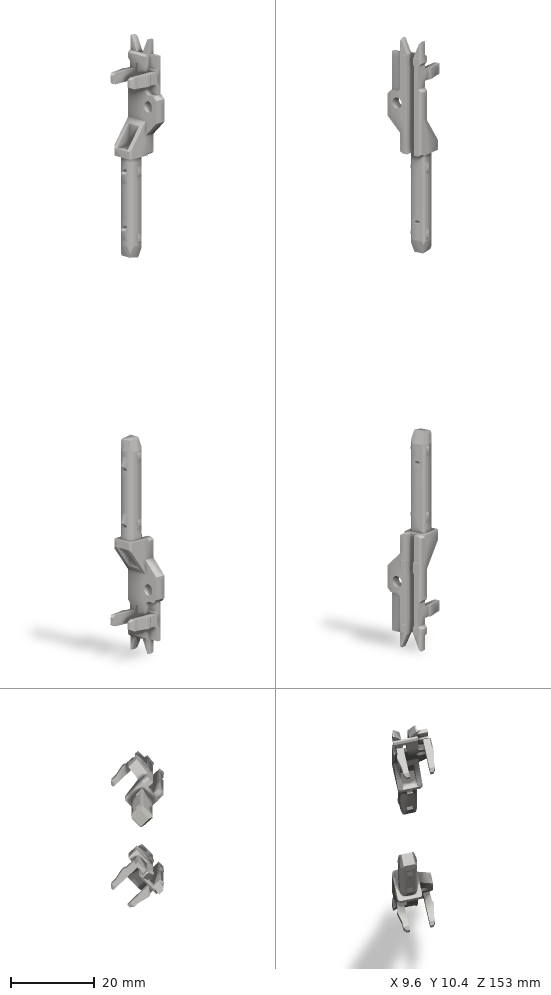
import cadquery as cq
HALF_LENGTH = 76.5

PLATE_WIDTH = 6.0
PLATE_THICKNESS = 2.8
PLATE_TOP_DROP = 3.7
PLATE_TOP_CHAMFER = 0.5
BACK_EDGE_CHAMFER = 0.5
CENTRE_X = PLATE_WIDTH / 2
CHANNEL_WIDTH = 2.0
CHANNEL_DEPTH = 1.8

PRONG_TIP_INSET = 0.3
PRONG_ROOT_WIDTH = CENTRE_X - CHANNEL_WIDTH / 2
PRONG_TIP_CHAMFER = 0.5

WING_WIDTH = 9.6
WING_TOP_DROP = 13.5
WING_CORNER = 0.9
WING_SIDE_END_DROP = 20.0
WING_END_DROP = WING_SIDE_END_DROP + WING_WIDTH - PLATE_WIDTH
WING_FILLET = 1.2
HOLE_DIAMETER = 2.8
HOLE_X = 6.9
HOLE_DROP = 16.4

ARM_DROP = 9.0
ARM_HEIGHT = 2.8
ARM_OUTER_X = 0.9
ARM_INNER_X = 2.3
ARM_FLARE_X = 0.6
ARM_HOOK_X = 0.3
ARM_END_DEPTH = 10.1
ARM_TIP_LENGTH = 0.9
ARM_TIP_X_TAPER = 0.6
ARM_TIP_Z_TAPER = 0.5
HOOK_BACK_DEPTH = 4.1
HOOK_CREST_DEPTH = 4.6
HOOK_RAMP_DEPTH = 5.2
HOOK_FRONT_DEPTH = 7.8

NOTCH_DEPTH = 0.69
NOTCH_HEIGHT = 7.2
SLOT_WIDTH = 0.9
SLOT_HEIGHT = 5.7

TAB_RIGHT_X = 8.7
TAB_BACK_DEPTH = 0.5
TAB_FRONT_DEPTH = 1.4
ARM_PAD_HEIGHT = 3.8

BLOCK_DEPTH = 7.8
RAMP_START_DROP = 20.2
RAMP_END_DROP = 27.0
BLOCK_END_DROP = 28.8
BLOCK_CHAMFER = 0.5
RAIL_CHAMFER_HEIGHT = 0.5
RAIL_CHAMFER_WIDTH = 0.8
POCKET_WIDTH = 3.5
POCKET_TOP_DROP = 21.4
POCKET_FLOOR_DEPTH = 3.5

PIN_SIZE = 4.1
PIN_FRONT_FILLET = 1.4
PIN_BACK_FILLET = 0.69
PIN_BACK_DEPTH = PLATE_THICKNESS
PIN_FRONT_DEPTH = PIN_BACK_DEPTH + PIN_SIZE
PIN_LEFT_X = CENTRE_X - PIN_SIZE / 2
PIN_TIP_DROP = 51.0
PIN_END_DROP = 54.2
PIN_END_WIDTH = 2.6
PIN_END_BACK_DEPTH = 3.5
PIN_END_FRONT_DEPTH = 6.5
PIN_END_SLANT = 0.5

FRONT_RAMP_DROPS = (32.6, 46.7)
FRONT_RAMP_LIFT = 0.5
FRONT_RAMP_WIDTH = PIN_SIZE - 2 * PIN_FRONT_FILLET
FRONT_RAMP_RISE = 0.3
FRONT_RAMP_CREST = 0.6
FRONT_RAMP_LENGTH = 2.9
SLIT_WIDTH = FRONT_RAMP_WIDTH
SLIT_HEIGHT = 0.8
UPPER_SLIT_DEPTH = 0.9
SIDE_BUMP_DROPS = (31.2, 47.9)
SIDE_BUMP_LIFT = 0.23
SIDE_BUMP_BACK_DEPTH = PIN_BACK_DEPTH + PIN_BACK_FILLET
SIDE_BUMP_FRONT_DEPTH = 4.6
SIDE_BUMP_RISE = 1.2
SIDE_BUMP_CREST = 2.0
SIDE_BUMP_LENGTH = 2.8

PAD_THICKNESS = 0.3
END_PAD_DROP = 4.0
END_PAD_HEIGHT = 2.0
KEY_PAD_DROP = 19.5
KEY_PAD_HEIGHT = 2.8


def height(drop):
    """Z of a point the given distance below the upper prong tips."""
    return HALF_LENGTH - drop


def box(left, right, back, front, top_drop, bottom_drop):
    """Block between two X values, two depths and two drops."""
    return (
        cq.Workplane("XY")
        .box(right - left, front - back, bottom_drop - top_drop, centered=False)
        .translate((left, -front, height(bottom_drop)))
    )


def front_prism(points, back, front):
    """Outline of (X, drop) points, extruded between two depths."""
    outline = [(x, height(drop)) for x, drop in points]
    return cq.Workplane("XZ").workplane(offset=back).polyline(outline).close().extrude(front - back)


def side_prism(points, left, right):
    """Outline of (depth, drop) points, extruded between two X values."""
    outline = [(-depth, height(drop)) for depth, drop in points]
    return cq.Workplane("YZ").workplane(offset=left).polyline(outline).close().extrude(right - left)


def mirror_about(body, x):
    """Copy of a body reflected in the plane at the given X."""
    return body.mirror("YZ", (x, 0, 0))


def plate():
    """Backplate with a sloped top edge."""
    slope_depth = PLATE_THICKNESS - PLATE_TOP_CHAMFER
    profile = [
        (0, PLATE_TOP_DROP),
        (slope_depth, PLATE_TOP_DROP),
        (PLATE_THICKNESS, PLATE_TOP_DROP + PLATE_TOP_CHAMFER),
        (PLATE_THICKNESS, BLOCK_END_DROP),
        (0, BLOCK_END_DROP),
    ]
    return side_prism(profile, 0, PLATE_WIDTH)


def prongs():
    """Two prongs whose inner sides form a V, with the back of each tip chamfered."""
    left = front_prism(
        [(0, PLATE_TOP_DROP), (0, 0), (PRONG_TIP_INSET, 0), (PRONG_ROOT_WIDTH, PLATE_TOP_DROP)],
        0,
        CHANNEL_DEPTH,
    )
    tip_cut = side_prism([(0, 0), (PRONG_TIP_CHAMFER, 0), (0, PRONG_TIP_CHAMFER)], 0, PRONG_ROOT_WIDTH)
    left = left.cut(tip_cut)
    return left.union(mirror_about(left, CENTRE_X))


def wing():
    """Side wing with a sloped upper corner and a sloped lower end."""
    outline = [
        (CENTRE_X, WING_TOP_DROP),
        (WING_WIDTH - WING_CORNER, WING_TOP_DROP),
        (WING_WIDTH, WING_TOP_DROP + WING_CORNER),
        (WING_WIDTH, WING_SIDE_END_DROP),
        (PLATE_WIDTH, WING_END_DROP),
        (CENTRE_X, WING_END_DROP),
    ]
    return front_prism(outline, 0, PLATE_THICKNESS)


def wing_fillet():
    """Concave fillet between the plate side and the top of the wing."""
    corner_z = height(WING_TOP_DROP)
    return (
        cq.Workplane("XZ")
        .moveTo(PLATE_WIDTH, corner_z)
        .lineTo(PLATE_WIDTH + WING_FILLET, corner_z)
        .radiusArc((PLATE_WIDTH, corner_z + WING_FILLET), WING_FILLET)
        .close()
        .extrude(PLATE_THICKNESS)
    )


def wing_hole():
    """Round hole through the wing."""
    return (
        cq.Workplane("XZ")
        .center(HOLE_X, height(HOLE_DROP))
        .circle(HOLE_DIAMETER / 2)
        .extrude(PLATE_THICKNESS)
    )


def ramp_block():
    """Block that rises from the plate to the pin, with chamfered front corners."""
    profile = [
        (0, RAMP_START_DROP),
        (PLATE_THICKNESS, RAMP_START_DROP),
        (BLOCK_DEPTH, RAMP_END_DROP),
        (BLOCK_DEPTH, BLOCK_END_DROP),
        (0, BLOCK_END_DROP),
    ]
    block = side_prism(profile, 0, PLATE_WIDTH)
    return block.faces("<Y").edges("|Z").chamfer(BLOCK_CHAMFER)


def ramp_pocket():
    """Pocket in the ramp, open to the front, with a flat floor and a level ledge."""
    half = POCKET_WIDTH / 2
    return box(
        CENTRE_X - half,
        CENTRE_X + half,
        POCKET_FLOOR_DEPTH,
        BLOCK_DEPTH,
        POCKET_TOP_DROP,
        RAMP_END_DROP,
    )


def left_arm():
    """Snap arm with an outward hook and a tapered tip."""
    tip_depth = ARM_END_DEPTH - ARM_TIP_LENGTH
    outline = [
        (ARM_INNER_X, CHANNEL_DEPTH),
        (NOTCH_DEPTH, CHANNEL_DEPTH),
        (ARM_FLARE_X, HOOK_BACK_DEPTH),
        (ARM_HOOK_X, HOOK_CREST_DEPTH),
        (ARM_HOOK_X, HOOK_RAMP_DEPTH),
        (ARM_OUTER_X, HOOK_FRONT_DEPTH),
        (ARM_OUTER_X, tip_depth),
        (ARM_OUTER_X + ARM_TIP_X_TAPER, ARM_END_DEPTH),
        (ARM_INNER_X, ARM_END_DEPTH),
    ]
    top = ARM_DROP - ARM_HEIGHT / 2
    bottom = ARM_DROP + ARM_HEIGHT / 2
    arm = (
        cq.Workplane("XY")
        .polyline([(x, -depth) for x, depth in outline])
        .close()
        .extrude(ARM_HEIGHT)
        .translate((0, 0, height(bottom)))
    )
    tapered_tip = [
        (CHANNEL_DEPTH, top),
        (tip_depth, top),
        (ARM_END_DEPTH, top + ARM_TIP_Z_TAPER),
        (ARM_END_DEPTH, bottom - ARM_TIP_Z_TAPER),
        (tip_depth, bottom),
        (CHANNEL_DEPTH, bottom),
    ]
    return arm.intersect(side_prism(tapered_tip, 0, WING_WIDTH))


def right_arm_tab():
    """Thin tab beside the plate, with a thicker pad under the right arm."""
    tab = box(PLATE_WIDTH, TAB_RIGHT_X, TAB_BACK_DEPTH, TAB_FRONT_DEPTH, PLATE_TOP_DROP, WING_TOP_DROP)
    half = ARM_PAD_HEIGHT / 2
    pad = box(PLATE_WIDTH, TAB_RIGHT_X, TAB_BACK_DEPTH, CHANNEL_DEPTH, ARM_DROP - half, ARM_DROP + half)
    return tab.union(pad)


def side_notch():
    """Notch in the left side with sloped ends, behind the left arm."""
    half = NOTCH_HEIGHT / 2
    outline = [
        (0, ARM_DROP - half),
        (NOTCH_DEPTH, ARM_DROP - half + NOTCH_DEPTH),
        (NOTCH_DEPTH, ARM_DROP + half - NOTCH_DEPTH),
        (0, ARM_DROP + half),
    ]
    return front_prism(outline, 0, PLATE_THICKNESS)


def arm_slot():
    """Through slot along the inner side of the left arm."""
    half = SLOT_HEIGHT / 2
    right = ARM_INNER_X + SLOT_WIDTH
    return box(ARM_INNER_X, right, 0, PLATE_THICKNESS, ARM_DROP - half, ARM_DROP + half)


def back_channel():
    """Channel along the whole back of the plate."""
    half = CHANNEL_WIDTH / 2
    return box(CENTRE_X - half, CENTRE_X + half, 0, CHANNEL_DEPTH, 0, BLOCK_END_DROP)


def back_edge_cut():
    """Chamfer along the left edge of the back."""
    size = BACK_EDGE_CHAMFER
    return (
        cq.Workplane("XY")
        .workplane(offset=height(BLOCK_END_DROP))
        .polyline([(0, 0), (size, 0), (0, -size)])
        .close()
        .extrude(BLOCK_END_DROP)
    )


def rail_end_cuts():
    """Chamfers on the outer corners of the two rails beside the channel, at the pin end."""
    left = front_prism(
        [
            (0, BLOCK_END_DROP - RAIL_CHAMFER_HEIGHT),
            (0, BLOCK_END_DROP),
            (RAIL_CHAMFER_WIDTH, BLOCK_END_DROP),
        ],
        0,
        CHANNEL_DEPTH,
    )
    return left.union(mirror_about(left, CENTRE_X))


def back_pads(top_drop, pad_height):
    """Pair of raised pads, one on each wall beside the back channel."""
    left = box(BACK_EDGE_CHAMFER, PRONG_ROOT_WIDTH, -PAD_THICKNESS, 0, top_drop, top_drop + pad_height)
    return left.union(mirror_about(left, CENTRE_X))


def plain_pin():
    """Square pin with rounded edges and a tapered end."""
    pin = box(
        PIN_LEFT_X,
        PIN_LEFT_X + PIN_SIZE,
        PIN_BACK_DEPTH,
        PIN_FRONT_DEPTH,
        BLOCK_END_DROP,
        PIN_END_DROP,
    )
    pin = pin.faces("<Y").edges("|Z").fillet(PIN_FRONT_FILLET)
    pin = pin.faces(">Y").edges("|Z").fillet(PIN_BACK_FILLET)
    front_outline = [
        (PIN_LEFT_X, BLOCK_END_DROP),
        (PIN_LEFT_X + PIN_SIZE, BLOCK_END_DROP),
        (PIN_LEFT_X + PIN_SIZE, PIN_TIP_DROP),
        (CENTRE_X + PIN_END_WIDTH / 2, PIN_END_DROP),
        (CENTRE_X - PIN_END_WIDTH / 2, PIN_END_DROP),
        (PIN_LEFT_X, PIN_TIP_DROP),
    ]
    side_outline = [
        (PIN_BACK_DEPTH, BLOCK_END_DROP),
        (PIN_FRONT_DEPTH, BLOCK_END_DROP),
        (PIN_FRONT_DEPTH, PIN_TIP_DROP),
        (PIN_END_FRONT_DEPTH, PIN_END_DROP - PIN_END_SLANT),
        (PIN_END_BACK_DEPTH, PIN_END_DROP),
        (PIN_BACK_DEPTH, PIN_TIP_DROP),
    ]
    pin = pin.intersect(front_prism(front_outline, PIN_BACK_DEPTH, PIN_FRONT_DEPTH))
    return pin.intersect(side_prism(side_outline, PIN_LEFT_X, PIN_LEFT_X + PIN_SIZE))


def front_ramp(drop):
    """Spring ramp on the front of the pin."""
    outline = [
        (PIN_FRONT_DEPTH, drop),
        (PIN_FRONT_DEPTH + FRONT_RAMP_LIFT, drop + FRONT_RAMP_RISE),
        (PIN_FRONT_DEPTH + FRONT_RAMP_LIFT, drop + FRONT_RAMP_CREST),
        (PIN_FRONT_DEPTH, drop + FRONT_RAMP_LENGTH),
    ]
    half = FRONT_RAMP_WIDTH / 2
    return side_prism(outline, CENTRE_X - half, CENTRE_X + half)


def pin_slit(drop, back):
    """Slit just above a front ramp, cut back to the given depth."""
    half = SLIT_WIDTH / 2
    return box(CENTRE_X - half, CENTRE_X + half, back, PIN_FRONT_DEPTH, drop - SLIT_HEIGHT, drop)


def side_bumps(drop):
    """Pair of shallow bumps on the two sides of the pin."""
    outline = [
        (PIN_LEFT_X, drop),
        (PIN_LEFT_X - SIDE_BUMP_LIFT, drop + SIDE_BUMP_RISE),
        (PIN_LEFT_X - SIDE_BUMP_LIFT, drop + SIDE_BUMP_CREST),
        (PIN_LEFT_X, drop + SIDE_BUMP_LENGTH),
    ]
    left = front_prism(outline, SIDE_BUMP_BACK_DEPTH, SIDE_BUMP_FRONT_DEPTH)
    return left.union(mirror_about(left, CENTRE_X))


def contact_pin():
    """Pin with its ramps, slits and side bumps; only the slit nearer the tip goes through."""
    upper_drop, lower_drop = FRONT_RAMP_DROPS
    pin = plain_pin()
    pin = pin.cut(pin_slit(upper_drop, PIN_FRONT_DEPTH - UPPER_SLIT_DEPTH))
    pin = pin.cut(pin_slit(lower_drop, PIN_BACK_DEPTH))
    for drop in FRONT_RAMP_DROPS:
        pin = pin.union(front_ramp(drop))
    for drop in SIDE_BUMP_DROPS:
        pin = pin.union(side_bumps(drop))
    return pin


def upper_carrier():
    """Carrier with its prongs at the top and its pin pointing down."""
    base = plate().union(wing()).union(wing_fillet()).union(ramp_block())
    base = base.cut(ramp_pocket()).cut(wing_hole()).cut(back_channel())
    base = base.union(prongs()).union(right_arm_tab())
    base = base.cut(back_edge_cut()).cut(rail_end_cuts()).cut(side_notch()).cut(arm_slot())
    arm = left_arm()
    right_arm = mirror_about(arm, WING_WIDTH / 2)
    base = base.union(arm).union(right_arm)
    base = base.union(back_pads(END_PAD_DROP, END_PAD_HEIGHT))
    return base.union(contact_pin())


def lower_carrier():
    """Mirror image of the upper carrier with an extra pair of pads on its back."""
    keyed = upper_carrier().union(back_pads(KEY_PAD_DROP, KEY_PAD_HEIGHT))
    return keyed.mirror("XY")


upper = upper_carrier()
lower = lower_carrier()
result = cq.Compound.makeCompound([upper.val(), lower.val()])